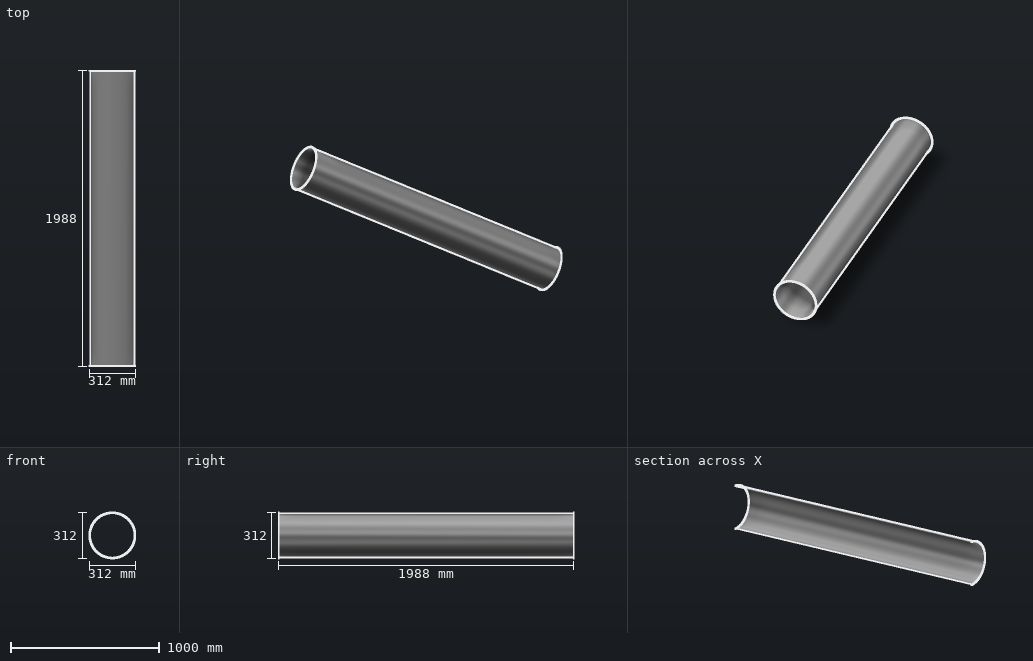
import cadquery as cq

length = 1988.0
bore_diameter = 298.0
tube_diameter = 300.0
lip_diameter = 312.0
lip_thickness = (tube_diameter - bore_diameter) / 2


def disc_along_y(diameter, start, depth):
    """Solid cylinder on the Y axis, running from y = start towards +Y."""
    plane = cq.Plane(origin=(0, start, 0), xDir=(1, 0, 0), normal=(0, 1, 0))
    return cq.Workplane(plane).circle(diameter / 2).extrude(depth)


body = disc_along_y(tube_diameter, -length / 2, length)

for lip_start in (-length / 2, length / 2 - lip_thickness):
    body = body.union(disc_along_y(lip_diameter, lip_start, lip_thickness))

result = body.cut(disc_along_y(bore_diameter, -length / 2, length))